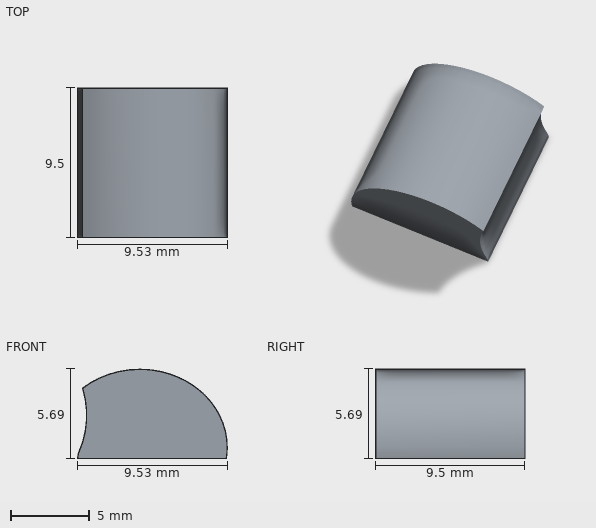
import cadquery as cq
import math

width = 9.53
depth = 9.5
height = 5.69

crown_center_z = 0.72
crown_radius_x = 5.57
crown_radius_z = height - crown_center_z
crown_center_x = width - crown_radius_x

foot_x = 0.07
foot_z = 0.36
waist_x = 0.58
waist_z = 2.76
rim_z = 4.48


def crown_left_x(z):
    """Return the X of the crown's left side at height z."""
    rise = (z - crown_center_z) / crown_radius_z
    return crown_center_x - crown_radius_x * math.sqrt(1 - rise**2)


def make_crown():
    """Elliptical cylinder running along Y, with its axis above the base."""
    return (
        cq.Workplane("XZ", origin=(0, depth, 0))
        .center(crown_center_x, crown_center_z)
        .ellipse(crown_radius_x, crown_radius_z)
        .extrude(depth)
    )


def make_side_limits():
    """Block carrying the flat base and the hollow side, open to the crown elsewhere."""
    rim_x = crown_left_x(rim_z)
    return (
        cq.Workplane("XZ", origin=(0, depth, 0))
        .moveTo(0, 0)
        .lineTo(foot_x, foot_z)
        .threePointArc((waist_x, waist_z), (rim_x, rim_z))
        .lineTo(rim_x, height)
        .lineTo(width, height)
        .lineTo(width, 0)
        .close()
        .extrude(depth)
    )


result = make_crown().intersect(make_side_limits())